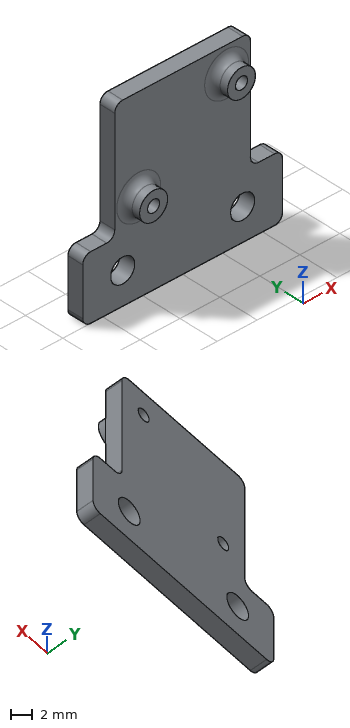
import cadquery as cq

foot_width = 25.0
foot_height = 8.0
panel_width = 17.0
total_height = 23.0
plate_thickness = 2.0
corner_radius = 1.0

mount_hole_diameter = 3.0
mount_hole_spacing = 15.0
mount_hole_z = foot_height / 2

standoff_diameter = 3.5
standoff_hole_diameter = 1.5
standoff_height = 2.0
root_radius = 1.0
upper_standoff = (5.5, 19.75)
standoff_offset_x = 11.0
standoff_offset_z = 8.5
lower_standoff = (upper_standoff[0] - standoff_offset_x, upper_standoff[1] - standoff_offset_z)
standoff_centers = [upper_standoff, lower_standoff]


def front_plane():
    """Sketch plane on the front face (Y = 0), with its normal toward -Y."""
    return cq.Workplane("XZ")


def make_plate():
    """Stepped plate behind the front face, with every outline corner rounded."""
    half_foot = foot_width / 2
    half_panel = panel_width / 2
    outline = [
        (-half_foot, 0),
        (half_foot, 0),
        (half_foot, foot_height),
        (half_panel, foot_height),
        (half_panel, total_height),
        (-half_panel, total_height),
        (-half_panel, foot_height),
        (-half_foot, foot_height),
    ]
    plate = front_plane().polyline(outline).close().extrude(-plate_thickness)
    return plate.edges("|Y").fillet(corner_radius)


def make_standoff(center):
    """Solid of revolution: a straight pin that flares concavely into the plate."""
    pin_radius = standoff_diameter / 2
    flare_radius = pin_radius + root_radius
    arc_reach = root_radius * 0.5**0.5
    arc_middle = (flare_radius - arc_reach, -root_radius + arc_reach)
    overlap = plate_thickness / 2
    profile = (
        cq.Workplane("XY")
        .moveTo(0, overlap)
        .lineTo(flare_radius, overlap)
        .lineTo(flare_radius, 0)
        .threePointArc(arc_middle, (pin_radius, -root_radius))
        .lineTo(pin_radius, -standoff_height)
        .lineTo(0, -standoff_height)
        .close()
    )
    center_x, center_z = center
    return profile.revolve(360, (0, 0), (0, 1)).translate((center_x, 0, center_z))


def make_hole_cutters(centers, diameter):
    """Cylinders along Y that pass through both the plate and the standoffs."""
    return front_plane().pushPoints(centers).circle(diameter / 2).extrude(
        plate_thickness + standoff_height, both=True
    )


mount_hole_centers = [(side * mount_hole_spacing / 2, mount_hole_z) for side in (-1, 1)]

result = make_plate()
for standoff_center in standoff_centers:
    result = result.union(make_standoff(standoff_center))
result = result.cut(make_hole_cutters(mount_hole_centers, mount_hole_diameter))
result = result.cut(make_hole_cutters(standoff_centers, standoff_hole_diameter))